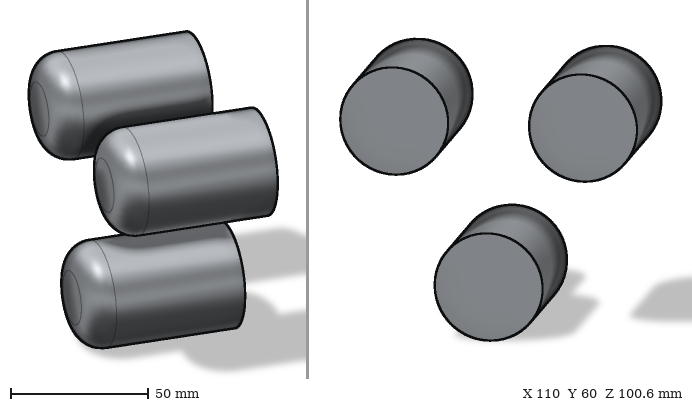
import cadquery as cq
import math

overall_width = 110.0
rod_diameter = 40.0
rod_length = 60.0
nose_radius = 10.0

rod_spacing = overall_width - rod_diameter
triangle_height = rod_spacing * math.sqrt(3) / 2
rod_centers = [
    (-rod_spacing / 2, triangle_height),
    (rod_spacing / 2, triangle_height),
    (0, 0),
]


def make_rod(x, z):
    """Rod along Y with a flat end at Y = 0 and a rounded end toward -Y."""
    rod = (
        cq.Workplane("XZ", origin=(x, 0, z))
        .circle(rod_diameter / 2)
        .extrude(rod_length)
    )
    return rod.faces("<Y").edges().fillet(nose_radius)


rods = [make_rod(x, z) for x, z in rod_centers]

result = cq.Compound.makeCompound([rod.val() for rod in rods])